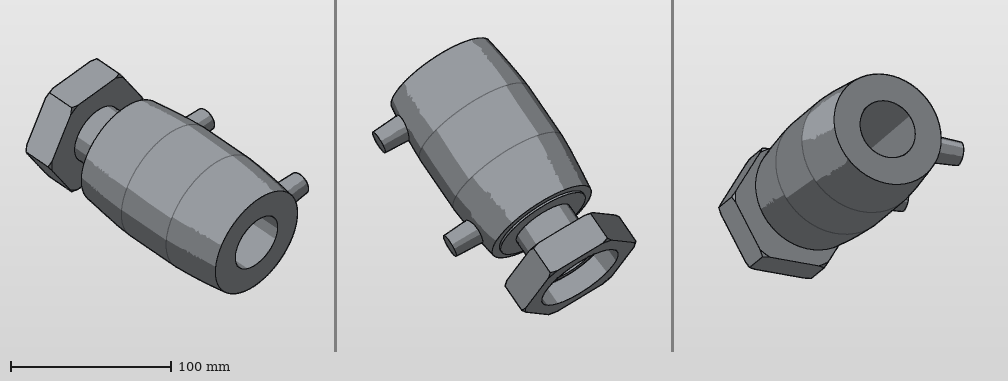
import cadquery as cq
import math

total_length = 161.0
nut_length = 21.9
collar_start = 42.7
body_start = 44.1
body_section = (total_length - body_start) / 3

bore_diameter = 38.0
neck_diameter = 40.0
collar_diameter = 63.0
body_end_diameter = 73.7
body_diameter = 82.0
taper_bulge = 0.5

nut_across_flats = 73.5
nut_corner_diameter = nut_across_flats / math.cos(math.pi / 6)
nut_face_diameter = 80.8
nut_chamfer_length = 1.3
nut_socket_diameter = 56.7
nut_socket_depth = 14.3
seat_diameter = 45.4
seat_face = 12.7

pin_positions = (61.5, 143.5)
pin_tip_y = 57.0
pin_tip_diameter = 15.1
pin_root_y = 29.0
pin_root_diameter = 18.4


def cylinder(diameter, start, end):
    """Round bar along X between two axial stations."""
    return cq.Workplane("YZ", origin=(start, 0, 0)).circle(diameter / 2).extrude(end - start)


def make_body():
    """Barrel with a middle cylinder and two gently bulging tapered ends."""
    end_radius = body_end_diameter / 2
    radius = body_diameter / 2
    middle_radius = (end_radius + radius) / 2 + taper_bulge
    cylinder_start = body_start + body_section
    cylinder_end = cylinder_start + body_section
    profile = (
        cq.Workplane("XY")
        .moveTo(body_start, 0)
        .lineTo(body_start, end_radius)
        .threePointArc((body_start + body_section / 2, middle_radius), (cylinder_start, radius))
        .lineTo(cylinder_end, radius)
        .threePointArc((cylinder_end + body_section / 2, middle_radius), (total_length, end_radius))
        .lineTo(total_length, 0)
        .close()
    )
    return profile.revolve(360, (0, 0, 0), (1, 0, 0))


def make_nut():
    """Hexagon with corners along Y, trimmed by a cone at both faces."""
    hexagon = cq.Workplane("YZ").polygon(6, nut_corner_diameter).extrude(nut_length)
    face_radius = nut_face_diameter / 2
    corner_radius = nut_corner_diameter / 2
    trim_outline = [
        (0, 0),
        (0, face_radius),
        (nut_chamfer_length, corner_radius),
        (nut_length - nut_chamfer_length, corner_radius),
        (nut_length, face_radius),
        (nut_length, 0),
    ]
    trim = cq.Workplane("XY").polyline(trim_outline).close().revolve(360, (0, 0, 0), (1, 0, 0))
    return hexagon.intersect(trim)


def make_pin(x):
    """Tapered pin along Y, rooted inside the body wall."""
    profile = (
        cq.Workplane("XY")
        .moveTo(x, pin_root_y)
        .lineTo(x + pin_root_diameter / 2, pin_root_y)
        .lineTo(x + pin_tip_diameter / 2, pin_tip_y)
        .lineTo(x, pin_tip_y)
        .close()
    )
    return profile.revolve(360, (x, 0, 0), (x, 1, 0))


result = make_nut()
result = result.union(cylinder(neck_diameter, nut_length, collar_start))
result = result.union(cylinder(collar_diameter, collar_start, body_start))
result = result.union(make_body())
for pin_x in pin_positions:
    result = result.union(make_pin(pin_x))

result = result.cut(cylinder(nut_socket_diameter, 0, nut_socket_depth))
result = result.union(cylinder(seat_diameter, seat_face, nut_socket_depth))

result = result.cut(cylinder(bore_diameter, 0, total_length))